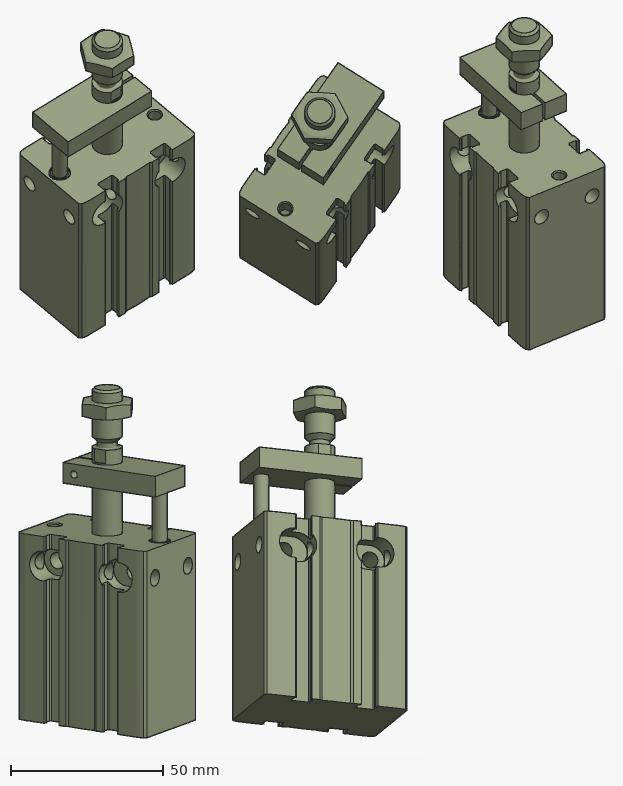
import cadquery as cq
import math


housing_width = 32.0
housing_length = 50.0
housing_height = 63.0
half_width = housing_width / 2
half_length = housing_length / 2

corner_round_start_y = 21.3
corner_round_drop = 0.4
corner_round_length = 2.9
corner_chamfer = half_length - corner_round_start_y - corner_round_length

groove_depth = 4.0
groove_inner_y = 8.0
groove_outer_y = 14.5
groove_floor_chamfer = 0.4
inner_lip_thickness = 1.0
outer_lip_thickness = 0.7
lip_height = 0.6
outer_lip_radius = 0.5

panel_half_length = 5.0
panel_slope_end_y = 5.8
panel_recess = 0.4
panel_bow = 0.2

mount_hole_diameter = 5.5
mount_hole_z = housing_height - 10.0
front_hole_x = 10.0
side_hole_y = 15.0
counterbore_diameter = 10.0
counterbore_inner_y = 12.0
counterbore_depth = 9.0

port_y = 20.5
port_diameter = 4.13
port_mouth_diameter = 5.0
port_depth = 7.0
drill_point_angle = 118.0

rod_diameter = 10.0
rod_shoulder_z = 92.0
rod_seat_depth = 20.0
rod_flat_width = 9.0
rod_flat_height = 4.5

thread_diameter = 10.0
thread_tip_diameter = 8.3
neck_diameter = 6.67
neck_fillet = 0.3
thread_shoulder_z = 94.0
thread_top_z = 112.0

nut_across_flats = 16.0
nut_height = 5.0
nut_bottom_z = 102.8
nut_face_diameter = 14.8
nut_chamfer_angle = 15.0

plate_width = 18.0
plate_thickness = 7.0
plate_bottom_z = 80.0
plate_back_y = 11.5
plate_front_y = -24.5
plate_slit_width = 1.0
clamp_hole_diameter = 2.46
clamp_hole_y = 7.2

pin_diameter = 5.0
pin_y = -20.5
pin_seat_depth = 20.0

bush_diameter = 7.0
bush_length = 6.0
bush_chamfer = 0.5


def cylinder(diameter, bottom_z, top_z, y=0.0):
    """Upright cylinder on the YZ centre plane."""
    return cq.Workplane("XY", origin=(0, y, bottom_z)).circle(diameter / 2).extrude(top_z - bottom_z)


def mouth_chamfer(hole_diameter, mouth_diameter, top_z, y=0.0):
    """45 degree cone that widens a hole to the mouth diameter at the top."""
    hole_radius = hole_diameter / 2
    mouth_radius = mouth_diameter / 2
    cone = cq.Solid.makeCone(
        mouth_radius, hole_radius, mouth_radius - hole_radius, cq.Vector(0, y, top_z), cq.Vector(0, 0, -1)
    )
    return cq.Workplane(obj=cone)


def housing_blank():
    """Rectangular bar with rounded, chamfered corners and a bowed panel in each side face."""
    round_radius = (corner_round_length**2 + corner_round_drop**2) / (2 * corner_round_drop)
    half_angle = math.asin(corner_round_length / round_radius) / 2
    round_mid_x = half_width - round_radius * (1 - math.cos(half_angle))
    round_mid_y = corner_round_start_y + round_radius * math.sin(half_angle)
    round_end_x = half_width - corner_round_drop
    round_end_y = corner_round_start_y + corner_round_length
    face_x = round_end_x - corner_chamfer
    panel_x = half_width - panel_recess

    half = (
        cq.Workplane("XY")
        .moveTo(0, -half_length)
        .lineTo(face_x, -half_length)
        .lineTo(round_end_x, -round_end_y)
        .threePointArc((round_mid_x, -round_mid_y), (half_width, -corner_round_start_y))
        .lineTo(half_width, -panel_slope_end_y)
        .lineTo(panel_x, -panel_half_length)
        .threePointArc((panel_x + panel_bow, 0), (panel_x, panel_half_length))
        .lineTo(half_width, panel_slope_end_y)
        .lineTo(half_width, corner_round_start_y)
        .threePointArc((round_mid_x, round_mid_y), (round_end_x, round_end_y))
        .lineTo(face_x, half_length)
        .lineTo(0, half_length)
        .close()
        .extrude(housing_height)
    )
    return half.union(half.mirror("YZ"))


def sensor_groove():
    """Groove with a square inner lip and a rounded outer lip, in the +X side face on the +Y half."""
    floor_x = half_width - groove_depth
    inner_lip_x = half_width - inner_lip_thickness
    outer_lip_x = half_width - outer_lip_thickness
    inner_lip_y = groove_inner_y + lip_height
    outer_lip_y = groove_outer_y - lip_height
    return (
        cq.Workplane("XY")
        .moveTo(half_width, inner_lip_y)
        .lineTo(inner_lip_x, inner_lip_y)
        .lineTo(inner_lip_x, groove_inner_y)
        .lineTo(floor_x + groove_floor_chamfer, groove_inner_y)
        .lineTo(floor_x, groove_inner_y + groove_floor_chamfer)
        .lineTo(floor_x, groove_outer_y - groove_floor_chamfer)
        .lineTo(floor_x + groove_floor_chamfer, groove_outer_y)
        .lineTo(outer_lip_x, groove_outer_y)
        .lineTo(outer_lip_x, outer_lip_y)
        .lineTo(half_width - outer_lip_radius, outer_lip_y)
        .radiusArc((half_width, outer_lip_y + outer_lip_radius), outer_lip_radius)
        .close()
        .extrude(housing_height)
    )


def side_counterbore():
    """Elongated counterbore in the +X side face, on the +Y half."""
    spacing = side_hole_y - counterbore_inner_y
    return (
        cq.Workplane("YZ", origin=(half_width - counterbore_depth, 0, 0))
        .center((side_hole_y + counterbore_inner_y) / 2, mount_hole_z)
        .slot2D(spacing + counterbore_diameter, counterbore_diameter)
        .extrude(counterbore_depth)
    )


def four_quadrants(feature):
    """The feature and its mirror images in the other three quadrants of the plan."""
    pair = feature.union(feature.mirror("YZ"))
    return pair.union(pair.mirror("XZ"))


def mount_holes():
    """Two through holes along Y and two through holes along X."""
    along_y = (
        cq.Workplane("XZ")
        .pushPoints([(-front_hole_x, mount_hole_z), (front_hole_x, mount_hole_z)])
        .circle(mount_hole_diameter / 2)
        .extrude(half_length, both=True)
    )
    along_x = (
        cq.Workplane("YZ")
        .pushPoints([(-side_hole_y, mount_hole_z), (side_hole_y, mount_hole_z)])
        .circle(mount_hole_diameter / 2)
        .extrude(half_width, both=True)
    )
    return along_y.union(along_x)


def port():
    """Drilled port with a conical bottom and a chamfered mouth."""
    radius = port_diameter / 2
    bottom_z = housing_height - port_depth
    point_depth = radius / math.tan(math.radians(drill_point_angle / 2))
    point = cq.Solid.makeCone(radius, 0, point_depth, cq.Vector(0, port_y, bottom_z), cq.Vector(0, 0, -1))
    return (
        cylinder(port_diameter, bottom_z, housing_height, port_y)
        .union(cq.Workplane(obj=point))
        .union(mouth_chamfer(port_diameter, port_mouth_diameter, housing_height, port_y))
    )


def make_housing():
    """Housing with grooves, mounting holes, port and the seats for the rod, pin and bush."""
    rod_seat = cylinder(rod_diameter, housing_height - rod_seat_depth, housing_height)
    pin_seat = cylinder(pin_diameter, housing_height - pin_seat_depth, housing_height, pin_y)
    bush_seat = cylinder(bush_diameter, housing_height - bush_length, housing_height, pin_y)
    return (
        housing_blank()
        .cut(four_quadrants(sensor_groove()))
        .cut(four_quadrants(side_counterbore()))
        .cut(mount_holes())
        .cut(port())
        .cut(rod_seat)
        .cut(pin_seat)
        .cut(bush_seat)
    )


def rod_end():
    """Filleted neck, 45 degree shoulder and chamfered thread above the rod shoulder."""
    neck_radius = neck_diameter / 2
    thread_radius = thread_diameter / 2
    tip_radius = thread_tip_diameter / 2
    return (
        cq.Workplane("XZ")
        .moveTo(0, rod_shoulder_z)
        .lineTo(neck_radius + neck_fillet, rod_shoulder_z)
        .radiusArc((neck_radius, rod_shoulder_z + neck_fillet), neck_fillet)
        .lineTo(neck_radius, thread_shoulder_z)
        .lineTo(thread_radius, thread_shoulder_z + thread_radius - neck_radius)
        .lineTo(thread_radius, thread_top_z - (thread_radius - tip_radius))
        .lineTo(tip_radius, thread_top_z)
        .lineTo(0, thread_top_z)
        .close()
        .revolve(360, (0, 0, 0), (0, 1, 0))
    )


def make_rod():
    """Round rod with two wrench flats below its shoulder and a threaded end."""
    flat_zone = cylinder(rod_diameter, rod_shoulder_z - rod_flat_height, rod_shoulder_z)
    between_flats = cq.Workplane("XY", origin=(0, 0, rod_shoulder_z)).box(
        rod_flat_width, rod_diameter, 2 * rod_flat_height
    )
    return (
        cylinder(rod_diameter, housing_height - rod_seat_depth, rod_shoulder_z)
        .cut(flat_zone.cut(between_flats))
        .union(rod_end())
    )


def make_nut():
    """Hexagon nut with corners toward +Y and -Y, chamfered on both faces."""
    across_corners = nut_across_flats / math.cos(math.pi / 6)
    corner_radius = across_corners / 2
    face_radius = nut_face_diameter / 2
    chamfer_height = (corner_radius - face_radius) * math.tan(math.radians(nut_chamfer_angle))
    top_z = nut_bottom_z + nut_height
    envelope = (
        cq.Workplane("XZ")
        .moveTo(0, nut_bottom_z)
        .lineTo(face_radius, nut_bottom_z)
        .lineTo(corner_radius, nut_bottom_z + chamfer_height)
        .lineTo(corner_radius, top_z - chamfer_height)
        .lineTo(face_radius, top_z)
        .lineTo(0, top_z)
        .close()
        .revolve(360, (0, 0, 0), (0, 1, 0))
    )
    return (
        cq.Workplane("XY", origin=(0, 0, nut_bottom_z))
        .transformed(rotate=(0, 0, 90))
        .polygon(6, across_corners)
        .extrude(nut_height)
        .intersect(envelope)
        .cut(cylinder(thread_diameter, nut_bottom_z, top_z))
    )


def make_plate():
    """Plate clamped on the rod, slit from its back edge to the rod hole."""
    top_z = plate_bottom_z + plate_thickness
    blank = (
        cq.Workplane("XY", origin=(0, (plate_front_y + plate_back_y) / 2, plate_bottom_z))
        .rect(plate_width, plate_back_y - plate_front_y)
        .extrude(plate_thickness)
    )
    slit = (
        cq.Workplane("XY", origin=(0, plate_back_y / 2, plate_bottom_z))
        .rect(plate_slit_width, plate_back_y)
        .extrude(plate_thickness)
    )
    clamp_hole = (
        cq.Workplane("YZ", origin=(-plate_width / 2, 0, 0))
        .center(clamp_hole_y, plate_bottom_z + plate_thickness / 2)
        .circle(clamp_hole_diameter / 2)
        .extrude(plate_width / 2)
    )
    return blank.cut(cylinder(rod_diameter, plate_bottom_z, top_z)).cut(slit).cut(clamp_hole)


def make_guide_pin():
    """Pin from the underside of the plate, through the bush, to the bottom of its hole in the housing."""
    return cylinder(pin_diameter, housing_height - pin_seat_depth, plate_bottom_z, pin_y)


def make_bush():
    """Bush flush with the housing top, chamfered around its upper outer edge."""
    bottom_z = housing_height - bush_length
    return (
        cylinder(bush_diameter, bottom_z, housing_height, pin_y)
        .faces(">Z")
        .chamfer(bush_chamfer)
        .cut(cylinder(pin_diameter, bottom_z, housing_height, pin_y))
    )


housing = make_housing()
rod = make_rod()
nut = make_nut()
plate = make_plate()
guide_pin = make_guide_pin()
bush = make_bush()

result = cq.Compound.makeCompound(
    [housing.val(), rod.val(), nut.val(), plate.val(), guide_pin.val(), bush.val()]
)